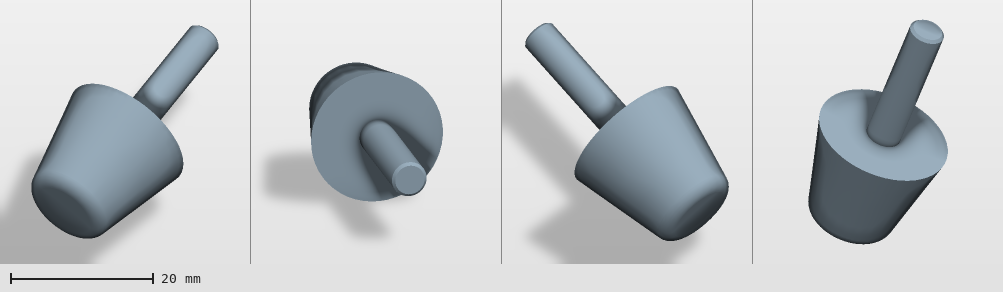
import cadquery as cq

bumper_length = 16.0
mounting_diameter = 19.0
foot_diameter = 12.0
foot_fillet_radius = 1.9

stud_diameter = 5.0
stud_length = 20.0
stud_tip_chamfer = 0.4


def make_bumper():
    """Truncated cone narrowing toward -Y, with a rounded rim around its foot."""
    half_profile = (
        cq.Workplane("XY")
        .lineTo(mounting_diameter / 2, 0)
        .lineTo(foot_diameter / 2, -bumper_length)
        .lineTo(0, -bumper_length)
        .close()
    )
    cone = half_profile.revolve(360, (0, 0, 0), (0, 1, 0))
    return cone.faces("<Y").edges().fillet(foot_fillet_radius)


def make_stud():
    """Cylindrical shank running toward +Y from the mounting face, chamfered at its tip."""
    shank = cq.Workplane("XZ").circle(stud_diameter / 2).extrude(-stud_length)
    return shank.faces(">Y").edges().chamfer(stud_tip_chamfer)


bumper = make_bumper()
stud = make_stud()

result = cq.Compound.makeCompound([bumper.val(), stud.val()])